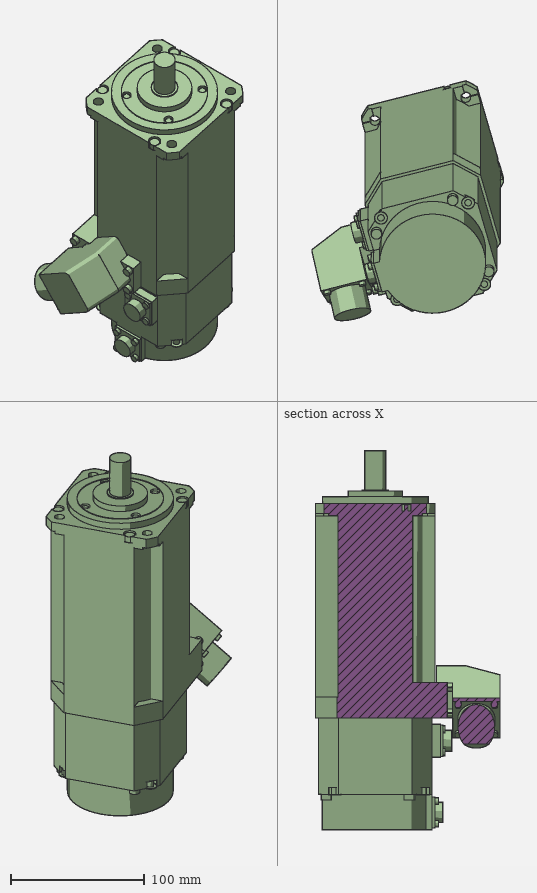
import cadquery as cq

TOTAL_HEIGHT = 285.0
BODY_HALF = 45.0
BODY_BOTTOM = 84.0
FLANGE_TOP = 245.5

SHAFT_R = 8.0
COLLAR_R = 10.0
COLLAR_TOP = 255.6
BOSS_R = 20.5
BOSS_TOP = 254.8
PILOT_R = 40.0
PILOT_TOP = 250.5
COVER_R = 32.5
COVER_DEPTH = 0.5
COVER_SCREW_OFFSET = 20.2
COVER_SCREW_POCKET_R = 3.5
COVER_SCREW_HEAD_R = 2.5
COVER_SCREW_POCKET_DEPTH = 2.8
COVER_SCREW_HEAD_HEIGHT = 1.7

FLANGE_CORNER_R = 59.0
FLANGE_UNDERSIDE = 237.7
MOUNT_HOLE_OFFSET = 35.3
MOUNT_HOLE_R = 3.7
RELIEF_START = 35.3
TIE_BOLT = (41.0, 23.5)
TIE_POCKET_R = 4.5
TIE_POCKET_DEPTH = 5.7
TIE_HEAD_R = 3.7
TIE_HEAD_HEIGHT = 4.8

NOTCH_WALL = 28.2
NOTCH_TOP = 236.0
NOTCH_BOTTOM = 99.8
STATOR_R = 45.5
NOTCH_FILLET = 1.5
CORNER_CHAMFER = BODY_HALF - NOTCH_WALL

HOUSING_HALF = 42.8
HOUSING_CHAMFER = 15.0
HOUSING_BOTTOM = 26.8
CAN_R = PILOT_R
CAN_PAD_HALF = 12.0
CAN_BOLT = (-36.8, -25.6)
CAN_BOLT_R = 4.0
CAN_BOLT_HEIGHT = 4.3
CAP_BOLT = (-30.5, -36.0)
CAP_POCKET_R = 4.8
CAP_POCKET_DEPTH = 5.0
CAP_HEAD_R = 2.5
CAP_WASHER_THICKNESS = 0.5

SOCKET_ROOT = 40.0
SOCKET_SCREW_OFFSET = 8.5
ENCODER_AT = (0, 13.0)
ENCODER_PLATE = (11.7, 44.7)
ENCODER_PLUG = (7.7, 50.7)
ENCODER_SCREW = (2.5, 47.5)
BRAKE_AT = (14.8, 67.0)
BRAKE_BASE = (12.5, 49.0)
BRAKE_PLATE = (12.0, 50.7)
BRAKE_PLUG = (8.0, 57.5)
BRAKE_SCREW = (2.8, 52.5)

BLOCK_RIGHT = 13.5
BLOCK_TOP = 111.0
BLOCK_FRONT = 54.2
BLOCK_BOLT_INSET = 3.7
BLOCK_BOLT_R = 3.0
BLOCK_BOLT_HEIGHT = 3.7

ELBOW_ANGLE = 36.0
ELBOW_ORIGIN = (-50.5, 72.7)
ELBOW_PLATE_START = 18.8
ELBOW_PLATE_THICKNESS = 2.3
ELBOW_END = 64.0
ELBOW_HALF_WIDTH = 18.0
ELBOW_CABLE_R = 14.0
ELBOW_BACK = 58.0
ELBOW_FRONT = 93.8
ELBOW_NECK_LEFT = -32.5
ELBOW_NECK_BACK = 46.0
ELBOW_SLOPE_START = 68.5
ELBOW_SLOPE_RUN = 11.5
ELBOW_FILLET = 3.7
ELBOW_SCREW_OFFSET = 13.7
ELBOW_SCREW_R = 2.5
ELBOW_SCREW_HEIGHT = 2.5


def box(x, y, z):
    """Box spanning the given (low, high) pairs."""
    size = (x[1] - x[0], y[1] - y[0], z[1] - z[0])
    return cq.Workplane("XY").box(*size, centered=False).translate((x[0], y[0], z[0]))


def post(radius, bottom, top, at=(0, 0)):
    """Vertical cylinder."""
    return cq.Workplane("XY", (at[0], at[1], bottom)).circle(radius).extrude(top - bottom)


def pin(radius, back, front, at):
    """Cylinder pointing to -Y, centred at the given X and Z."""
    return cq.Workplane("XZ", (at[0], -back, at[1])).circle(radius).extrude(front - back)


def four_turns(shape):
    """The shape repeated every quarter turn about the motor axis."""
    turned = shape
    for quarter in range(1, 4):
        turned = turned.union(shape.rotate((0, 0, 0), (0, 0, 1), 90 * quarter))
    return turned


def square_corners(center, offset):
    return [(center[0] + i * offset[0], center[1] + j * offset[1]) for i in (-1, 1) for j in (-1, 1)]


def make_body():
    full = (-BODY_HALF, BODY_HALF)
    lower = box(full, full, (BODY_BOTTOM, NOTCH_TOP)).edges("|Z").chamfer(CORNER_CHAMFER)
    middle = box(full, full, (NOTCH_BOTTOM, NOTCH_TOP))
    outside = (NOTCH_WALL, 2 * BODY_HALF)
    notch = box(outside, outside, (NOTCH_BOTTOM, NOTCH_TOP))
    notch = notch.cut(post(STATOR_R, NOTCH_BOTTOM, NOTCH_TOP)).edges("|Z").fillet(NOTCH_FILLET)
    body = lower.union(middle).cut(four_turns(notch))

    flange = box(full, full, (NOTCH_TOP, FLANGE_TOP))
    flange = flange.intersect(post(FLANGE_CORNER_R, NOTCH_TOP, FLANGE_TOP))
    relief = box((RELIEF_START, BODY_HALF), (RELIEF_START, BODY_HALF), (NOTCH_TOP, FLANGE_UNDERSIDE))
    hole = post(MOUNT_HOLE_R, NOTCH_TOP, FLANGE_TOP, (MOUNT_HOLE_OFFSET, MOUNT_HOLE_OFFSET))
    body = body.union(flange.cut(four_turns(relief)).cut(four_turns(hole)))

    pocket_floor = FLANGE_TOP - TIE_POCKET_DEPTH
    pocket = post(TIE_POCKET_R, pocket_floor, FLANGE_TOP, TIE_BOLT)
    head = post(TIE_HEAD_R, pocket_floor, pocket_floor + TIE_HEAD_HEIGHT, TIE_BOLT)
    return body.cut(four_turns(pocket)).union(four_turns(head))


def make_shaft_end():
    cover_top = PILOT_TOP - COVER_DEPTH
    end = post(PILOT_R, FLANGE_TOP, PILOT_TOP).cut(post(COVER_R, cover_top, PILOT_TOP))
    screw_at = (COVER_SCREW_OFFSET, COVER_SCREW_OFFSET)
    pocket_floor = cover_top - COVER_SCREW_POCKET_DEPTH
    pocket = post(COVER_SCREW_POCKET_R, pocket_floor, PILOT_TOP, screw_at)
    head = post(COVER_SCREW_HEAD_R, pocket_floor, pocket_floor + COVER_SCREW_HEAD_HEIGHT, screw_at)
    end = end.cut(four_turns(pocket)).union(four_turns(head))
    end = end.union(post(BOSS_R, FLANGE_TOP, BOSS_TOP))
    end = end.union(post(COLLAR_R, FLANGE_TOP, COLLAR_TOP))
    return end.union(post(SHAFT_R, FLANGE_TOP, TOTAL_HEIGHT))


def make_rear():
    full = (-HOUSING_HALF, HOUSING_HALF)
    housing = box(full, full, (HOUSING_BOTTOM, BODY_BOTTOM)).edges("|Z").chamfer(HOUSING_CHAMFER)
    pocket_roof = HOUSING_BOTTOM + CAP_POCKET_DEPTH
    pocket = post(CAP_POCKET_R, HOUSING_BOTTOM, pocket_roof, CAP_BOLT)
    cap_head = post(CAP_HEAD_R, HOUSING_BOTTOM, pocket_roof, CAP_BOLT)
    washer = post(CAP_POCKET_R, HOUSING_BOTTOM - CAP_WASHER_THICKNESS, HOUSING_BOTTOM, CAP_BOLT)
    can_head = post(CAN_BOLT_R, HOUSING_BOTTOM - CAN_BOLT_HEIGHT, HOUSING_BOTTOM, CAN_BOLT)
    rear = housing.cut(four_turns(pocket)).union(four_turns(cap_head.union(washer)))
    return rear.union(post(CAN_R, 0, HOUSING_BOTTOM)).union(four_turns(can_head))


def signal_socket(at, layers, plug, screw):
    """Square socket facing -Y with square layers, a round plug and four screws.

    Each size is a pair: half width or radius, then the distance of its front from the motor axis.
    """
    x, z = at
    socket = pin(plug[0], SOCKET_ROOT, plug[1], at)
    for half, front in layers:
        socket = socket.union(box((x - half, x + half), (-front, -SOCKET_ROOT), (z - half, z + half)))
    for spot in square_corners(at, (SOCKET_SCREW_OFFSET, SOCKET_SCREW_OFFSET)):
        socket = socket.union(pin(screw[0], SOCKET_ROOT, screw[1], spot))
    return socket


def make_terminal_block():
    x = (-BODY_HALF, BLOCK_RIGHT)
    z = (BODY_BOTTOM, BLOCK_TOP)
    block = box(x, (-BLOCK_FRONT, -NOTCH_WALL), z)
    center = (sum(x) / 2, sum(z) / 2)
    offset = ((x[1] - x[0]) / 2 - BLOCK_BOLT_INSET, (z[1] - z[0]) / 2 - BLOCK_BOLT_INSET)
    for spot in square_corners(center, offset):
        block = block.union(pin(BLOCK_BOLT_R, BLOCK_FRONT, BLOCK_FRONT + BLOCK_BOLT_HEIGHT, spot))
    return block


def make_elbow():
    """Elbow built with its axis along X, then tilted and moved into place."""
    shell_start = ELBOW_PLATE_START + ELBOW_PLATE_THICKNESS
    across = (-ELBOW_HALF_WIDTH, ELBOW_HALF_WIDTH)
    profile = [
        (shell_start, -ELBOW_FRONT),
        (ELBOW_END - ELBOW_SLOPE_RUN, -ELBOW_FRONT),
        (ELBOW_END, -ELBOW_SLOPE_START),
        (ELBOW_END, -ELBOW_NECK_BACK),
        (shell_start, -ELBOW_NECK_BACK),
    ]
    shell = cq.Workplane("XY").polyline(profile).close().extrude(ELBOW_HALF_WIDTH, both=True)
    long_edges = shell.edges("not(|X or |Z)")
    end_edges = long_edges.filter(lambda edge: edge.Center().x > ELBOW_END - ELBOW_SLOPE_RUN)
    shell = end_edges.fillet(ELBOW_FILLET)

    plate = box((ELBOW_PLATE_START, shell_start), (-ELBOW_FRONT, -ELBOW_BACK), across)
    cable_y = -(ELBOW_FRONT + ELBOW_BACK) / 2
    cable = cq.Workplane("YZ", (0, cable_y, 0)).circle(ELBOW_CABLE_R).extrude(ELBOW_PLATE_START)
    screws = cq.Workplane("YZ", (ELBOW_PLATE_START, cable_y, 0))
    screws = screws.rect(2 * ELBOW_SCREW_OFFSET, 2 * ELBOW_SCREW_OFFSET, forConstruction=True)
    screws = screws.vertices().circle(ELBOW_SCREW_R).extrude(-ELBOW_SCREW_HEIGHT)

    elbow = shell.union(plate).union(cable).union(screws)
    elbow = elbow.rotate((0, 0, 0), (0, 1, 0), -ELBOW_ANGLE)
    elbow = elbow.translate((ELBOW_ORIGIN[0], 0, ELBOW_ORIGIN[1]))
    behind = (-ELBOW_BACK, 0)
    left_of_neck = box((-2 * BODY_HALF, ELBOW_NECK_LEFT), behind, (0, TOTAL_HEIGHT))
    below_neck = box((-2 * BODY_HALF, BODY_HALF), behind, (0, BODY_BOTTOM))
    return elbow.cut(left_of_neck).cut(below_neck)


def make_can_pad():
    """Flat pad on the encoder can, flush with the housing."""
    return box((-CAN_PAD_HALF, CAN_PAD_HALF), (-HOUSING_HALF, 0), (0, HOUSING_BOTTOM))


result = make_body()
for piece in (
    make_shaft_end(),
    make_rear(),
    make_can_pad(),
    signal_socket(ENCODER_AT, [ENCODER_PLATE], ENCODER_PLUG, ENCODER_SCREW),
    signal_socket(BRAKE_AT, [BRAKE_BASE, BRAKE_PLATE], BRAKE_PLUG, BRAKE_SCREW),
    make_terminal_block(),
    make_elbow(),
):
    result = result.union(piece)